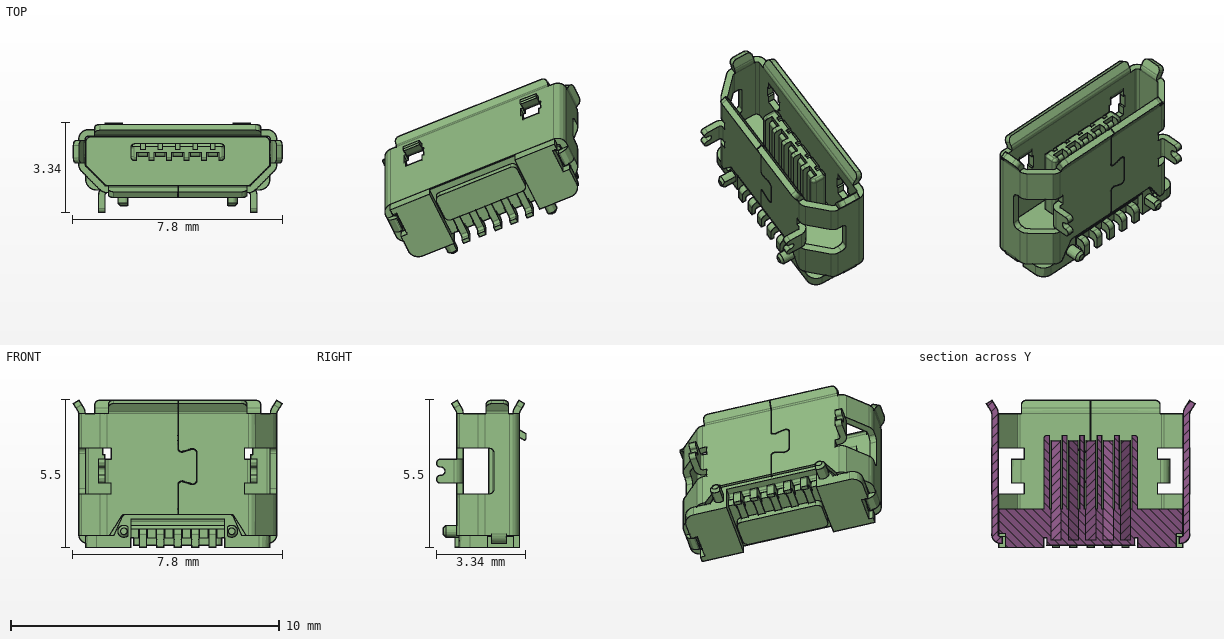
import cadquery as cq
import math


wall = 0.25
half_width = 3.70
depth = 2.35
bevel = 0.90
bend_radius = 0.37
shell_bottom = 0.45
shell_top = 5.0

lip_height = 0.5
end_lip_angle = math.radians(30)
side_lip_angle = math.radians(32)
lip_radius = 0.17
lip_corner = 0.2
rear_lip_width = 6.2
front_lip_width = 5.18
side_lip_width = 0.85
side_lip_y = 1.52

front_lip_reach = 0.5

seam_gap = 0.025
seam_top = 6.0
key_depth = 0.70
key_z = 3.02
key_neck = 0.48
key_end = 0.70
key_radius = 0.15

window_bottom = 2.0
window_top = 3.71
window_inner_x = 2.49
window_rear_y = 1.40
window_radius = 0.2

leg_bottom = 2.40
leg_top = 3.30
leg_root_x = 2.61
leg_bend = 0.1
leg_tip_y = -0.75
leg_notch_y = -0.585
leg_notch_radius = 0.15
leg_tip_radius = 0.149

spring_x = 2.39
spring_width = 0.66
spring_root_z = 4.42
spring_angle = math.radians(60)
spring_bend = 0.05
spring_length = 0.34
spring_reach = 0.24
rear_window_bottom = 3.1
relief_width = 0.81
relief_bottom = 3.47
relief_top = 4.03

curl_y = 1.58
curl_width = 0.56
curl_root_z = 0.50
curl_bend = 0.1
curl_length = 0.05

cutout_half_bottom = 2.55
cutout_half_top = 2.06
cutout_top = 1.24
cutout_radius = 0.15

housing_clearance = 0.02
housing_rear_radius = 0.18
floor_z = 1.44
base_half_width = 3.44
base_rear_half_width = 3.36
base_front_y = 0.09
base_corner = 0.41
body_bottom = 0.41
boss_half_bottom = 2.385
boss_half_top = 2.03

notch_front_y = 1.16
notch_rear_y = 2.12
notch_depth = 0.25
curl_pocket_play = 0.02

peg_x = 2.01
peg_z = 0.607
peg_radius = 0.225
peg_tip_y = -0.50
peg_chamfer = 0.1
peg_flat_x = 1.862

recess_half_width = 1.745
recess_top = 1.06
recess_radius = 0.09
tunnel_top = 0.36
comb_front_y = 0.33
comb_back_y = 0.43
comb_slope_top = 0.82
comb_slot_width = 0.34
comb_slot_depth = 0.17
foot_half_width = 1.65
foot_bottom = 0.08
foot_front_y = 1.0
foot_radius = 0.2

tongue_half_width = 1.752
tongue_front_y = 1.19
tongue_rear_y = 1.82
tongue_top = 4.19
tongue_corner = 0.15
tongue_edge = 0.11
groove_width = 0.47
groove_rear_y = 1.487
rear_notch_width = 0.175
rear_notch_y = 1.605
rear_notch_depth = 0.2

contact_pitch = 0.65
contact_count = 5
contact_width = 0.27
contact_thickness = 0.15
foot_y = -0.06
contact_bottom = 0.01
arm_bottom = 0.30
arm_top = 0.70
contact_outer_bend = 0.22
contact_inner_bend = 0.1
blade_width = 0.36
blade_top = 3.99
blade_tip_radius = 0.135

contact_places = [(i - (contact_count - 1) / 2) * contact_pitch for i in range(contact_count)]


def box(x_min, x_max, y_min, y_max, z_min, z_max):
    size = (x_max - x_min, y_max - y_min, z_max - z_min)
    return cq.Workplane("XY").box(*size, centered=False).translate((x_min, y_min, z_min))


def both_sides(body):
    """The body together with its mirror image across the middle plane."""
    return body.union(body.mirror("YZ"))


def connector_section(inset, rear_radius, z_min, z_max):
    """Prism of the shell's outline, moved inwards by the inset on every side."""
    side = half_width - inset
    front = inset
    rear = depth - inset
    bevel_run = bevel - (2 - math.sqrt(2)) * inset
    prism = (
        cq.Workplane("XY", origin=(0, 0, z_min))
        .polyline([
            (side - bevel_run, front),
            (side, front + bevel_run),
            (side, rear),
            (-side, rear),
            (-side, front + bevel_run),
            (bevel_run - side, front),
        ])
        .close()
        .extrude(z_max - z_min)
    )
    prism = prism.edges("|Z and (not >Y)").fillet(bend_radius - inset)
    return prism.edges("|Z and >Y").fillet(rear_radius)


def bent_strip(root, outwards, along, width, radius, angle, length):
    """Sheet strip that leaves the wall at the root and bends outwards, then runs straight.

    The root lies on the face the strip bends towards, in the middle of the strip's width.
    """
    sine = math.sin(angle)
    cosine = math.cos(angle)
    outer = radius + wall
    half = angle / 2
    end_x = length * sine
    end_y = length * cosine
    normal = cq.Vector(*outwards).cross(cq.Vector(*along))
    plane = cq.Plane(origin=root, xDir=outwards, normal=normal.toTuple())
    return (
        cq.Workplane(plane)
        .moveTo(0, 0)
        .threePointArc(
            (radius - radius * math.cos(half), radius * math.sin(half)),
            (radius - radius * cosine, radius * sine),
        )
        .line(end_x, end_y)
        .line(-wall * cosine, wall * sine)
        .line(-end_x, -end_y)
        .threePointArc((radius - outer * math.cos(half), outer * math.sin(half)), (-wall, 0))
        .close()
        .extrude(width / 2, both=True)
    )


def flared_lip(root, outwards, width, angle):
    """Lip on the shell's upper edge, bent outwards, with its two tip corners rounded."""
    sine = math.sin(angle)
    cosine = math.cos(angle)
    length = (lip_height - (lip_radius + wall) * sine) / cosine
    lip = bent_strip(root, outwards, (0, 0, 1), width, lip_radius, angle, length)
    across_tip = cq.Vector(*outwards) * cosine - cq.Vector(0, 0, sine)
    return lip.edges(cq.selectors.ParallelDirSelector(across_tip)).fillet(lip_corner)


def side_window():
    """Opening of the right-hand side that wraps around the bevel into the front wall."""
    window = box(window_inner_x, half_width, 0, window_rear_y, window_bottom, window_top)
    return window.edges("|X and >Y").fillet(window_radius)


def solder_leg():
    """Leg of the right-hand side, bent forward out of the front wall, with a forked tip."""
    height = leg_top - leg_bottom
    middle_z = (leg_top + leg_bottom) / 2
    root = (leg_root_x, 0, middle_z)
    straight = -leg_tip_y - leg_bend
    leg = bent_strip(root, (0, -1, 0), (1, 0, 0), height, leg_bend, math.pi / 2, straight)
    notch = (
        cq.Workplane("YZ")
        .center(leg_notch_y, middle_z)
        .circle(leg_notch_radius)
        .extrude(half_width)
        .union(box(0, half_width, leg_tip_y, leg_notch_y,
                   middle_z - leg_notch_radius, middle_z + leg_notch_radius))
    )
    leg = leg.cut(notch).faces("<Y").edges("|X").fillet(leg_tip_radius)
    flat = box(window_inner_x, leg_root_x, 0, wall, leg_bottom, leg_top)
    return leg.union(flat)


def rear_window():
    """Opening of the rear wall under a spring, wider where the spring is relieved."""
    def opening(width, z_min, z_max):
        return box(spring_x - width / 2, spring_x + width / 2, depth - 2 * wall, depth + wall, z_min, z_max)

    return opening(spring_width, rear_window_bottom, spring_root_z).union(
        opening(relief_width, relief_bottom, relief_top)
    )


def rear_spring():
    """Spring bent out of the rear wall, its tip cut flat parallel to the wall."""
    root = (spring_x, depth, spring_root_z)
    spring = bent_strip(root, (0, 1, 0), (0, 0, -1), spring_width, spring_bend, spring_angle, spring_length)
    return spring.intersect(box(0, half_width, 0, depth + spring_reach, 0, shell_top))


def curled_tab():
    """Tab at the bottom of the right-hand side wall, curled inwards."""
    root = (half_width - wall, curl_y, curl_root_z)
    return bent_strip(root, (-1, 0, 0), (0, 0, -1), curl_width, curl_bend, math.pi / 2, curl_length)


def curl_gap():
    """Piece of the side wall's lower edge that the curled tab takes the place of."""
    return box(half_width - wall, half_width, curl_y - curl_width / 2, curl_y + curl_width / 2,
               shell_bottom, curl_root_z)


def trapezoid(half_bottom, half_top, y_min, y_max):
    """Trapezoid above the contacts, with rounded upper corners."""
    return (
        cq.Workplane("XZ", origin=(0, y_max, 0))
        .polyline([
            (-half_bottom, shell_bottom),
            (half_bottom, shell_bottom),
            (half_top, cutout_top),
            (-half_top, cutout_top),
        ])
        .close()
        .extrude(y_max - y_min)
        .edges("|Y and >Z")
        .fillet(cutout_radius)
    )


def seam():
    """Thin gap of constant width that follows the middle line and the dovetail key."""
    seam_depth = front_lip_reach + wall
    key_bounds = cq.selectors.BoxSelector(
        (-key_depth, key_z - 2 * key_end, -wall),
        (2 * key_depth, key_z + 2 * key_end, wall),
    )
    outline = (
        cq.Sketch()
        .polygon([
            (-half_width, 0),
            (0, 0),
            (0, key_z - key_neck),
            (key_depth, key_z - key_end),
            (key_depth, key_z + key_end),
            (0, key_z + key_neck),
            (0, seam_top),
            (-half_width, seam_top),
            (-half_width, 0),
        ])
        .vertices(key_bounds)
        .fillet(key_radius)
    )
    left_half = cq.Workplane("XZ", origin=(0, wall, 0)).placeSketch(outline).extrude(seam_depth)
    left_half_grown = (
        left_half.faces("<Y")
        .wires()
        .toPending()
        .offset2D(seam_gap)
        .extrude(-seam_depth, combine=False)
    )
    gap = left_half_grown.cut(left_half)
    return gap.intersect(box(-key_depth, 2 * key_depth, -front_lip_reach, wall, shell_bottom, seam_top))


def build_shell():
    shell = connector_section(0, bend_radius, shell_bottom, shell_top)
    shell = shell.cut(connector_section(wall, bend_radius - wall, 0, 2 * shell_top))
    rear_lip = flared_lip((0, depth, shell_top), (0, 1, 0), rear_lip_width, end_lip_angle)
    front_lip = flared_lip((0, 0, shell_top), (0, -1, 0), front_lip_width, end_lip_angle)
    side_lip = flared_lip((half_width, side_lip_y, shell_top), (1, 0, 0), side_lip_width, side_lip_angle)
    shell = shell.union(rear_lip).union(front_lip).union(both_sides(side_lip))
    shell = shell.cut(both_sides(side_window())).cut(both_sides(rear_window()))
    shell = shell.cut(both_sides(curl_gap()))
    for part in (solder_leg(), rear_spring(), curled_tab()):
        shell = shell.union(both_sides(part))
    shell = shell.cut(trapezoid(cutout_half_bottom, cutout_half_top, 0, wall))
    return shell.cut(seam())


def housing_base():
    """Base plate below the shell, with side notches and a narrower strip at the rear."""
    base = box(-base_half_width, base_half_width, base_front_y, depth, 0, shell_bottom)
    base = base.edges("|Z and <Y").fillet(base_corner)
    notch = box(base_half_width - notch_depth, half_width, notch_front_y, notch_rear_y, 0, shell_bottom)
    rear_trim = box(base_rear_half_width, half_width, notch_rear_y, depth, 0, shell_bottom)
    return base.cut(both_sides(notch.union(rear_trim)))


def peg():
    """Locating peg on the front face, flattened on its inner side."""
    rod = (
        cq.Workplane("XZ", origin=(peg_x, base_front_y, peg_z))
        .circle(peg_radius)
        .extrude(base_front_y - peg_tip_y)
        .faces("<Y")
        .chamfer(peg_chamfer)
    )
    return rod.intersect(box(peg_flat_x, half_width, peg_tip_y, base_front_y, 0, shell_top))


def contact_recess():
    """Recess of the front face: a sloped comb top, a back wall and a rounded ceiling."""
    arc_inset = recess_radius * (1 - math.sqrt(0.5))
    return (
        cq.Workplane("YZ", origin=(-recess_half_width, 0, 0))
        .polyline([
            (0, recess_top),
            (0, 0),
            (comb_front_y, 0),
            (comb_front_y, arm_top),
            (comb_back_y, comb_slope_top),
            (comb_back_y, recess_top - recess_radius),
        ])
        .threePointArc(
            (comb_back_y - arc_inset, recess_top - arc_inset),
            (comb_back_y - recess_radius, recess_top),
        )
        .close()
        .extrude(2 * recess_half_width)
    )


def housing_tunnel():
    """Channel under the housing, less the round-cornered foot that stands in it."""
    channel = box(-recess_half_width, recess_half_width, 0, depth, 0, tunnel_top)
    foot = box(-foot_half_width, foot_half_width, foot_front_y, depth - wall, foot_bottom, tunnel_top)
    return channel.cut(foot.edges("|Z").fillet(foot_radius))


def tongue():
    """Upright tongue with a contact groove and a small rear notch for each contact."""
    block = box(-tongue_half_width, tongue_half_width, tongue_front_y, tongue_rear_y, floor_z, tongue_top)
    block = block.edges(">Y and >Z").chamfer(tongue_edge)
    block = block.edges("|Z").fillet(tongue_corner)
    block = block.faces(">Z").edges("not >Y").fillet(tongue_edge)
    for x in contact_places:
        groove = box(x - groove_width / 2, x + groove_width / 2, tongue_front_y, groove_rear_y,
                     floor_z, tongue_top)
        rear_notch = box(x - rear_notch_width / 2, x + rear_notch_width / 2, rear_notch_y, tongue_rear_y,
                         tongue_top - rear_notch_depth, tongue_top)
        block = block.cut(groove).cut(rear_notch)
    return block


def build_housing():
    inset = wall + housing_clearance
    housing = connector_section(inset, housing_rear_radius, body_bottom, floor_z)
    housing = housing.union(housing_base())
    housing = housing.union(trapezoid(boss_half_bottom, boss_half_top, base_front_y, 2 * wall))
    housing = housing.union(both_sides(peg()))
    housing = housing.cut(contact_recess()).cut(housing_tunnel())
    curl_pocket = box(
        base_half_width - notch_depth, half_width,
        curl_y - curl_width / 2 - curl_pocket_play, curl_y + curl_width / 2 + curl_pocket_play,
        0, curl_root_z + curl_pocket_play,
    )
    housing = housing.cut(both_sides(curl_pocket))
    for x in contact_places:
        slot = box(x - comb_slot_width / 2, x + comb_slot_width / 2,
                   comb_front_y, comb_front_y + comb_slot_depth, 0, arm_top)
        housing = housing.cut(slot)
    housing = housing.union(tongue())
    for x in contact_places:
        housing = housing.cut(contact(x))
    return housing


def contact(x):
    """One contact: a foot bent down in front, an arm through the housing and an upright blade."""
    foot_back_y = foot_y + contact_thickness
    blade_front_y = groove_rear_y - contact_thickness
    outer_edge = contact_outer_bend * (1 - math.sqrt(0.5))
    inner_edge = contact_inner_bend * (1 - math.sqrt(0.5))
    arm = (
        cq.Workplane("YZ", origin=(x, 0, 0))
        .moveTo(foot_y, contact_bottom)
        .lineTo(foot_y, arm_top - contact_outer_bend)
        .threePointArc(
            (foot_y + outer_edge, arm_top - outer_edge),
            (foot_y + contact_outer_bend, arm_top),
        )
        .lineTo(groove_rear_y, arm_top)
        .lineTo(groove_rear_y, arm_bottom)
        .lineTo(foot_back_y + contact_inner_bend, arm_bottom)
        .threePointArc(
            (foot_back_y + inner_edge, arm_bottom - inner_edge),
            (foot_back_y, arm_bottom - contact_inner_bend),
        )
        .lineTo(foot_back_y, contact_bottom)
        .close()
        .extrude(contact_width / 2, both=True)
    )
    blade = box(x - blade_width / 2, x + blade_width / 2, blade_front_y, groove_rear_y, arm_bottom, blade_top)
    blade = blade.edges("|X and >Z and <Y").fillet(blade_tip_radius)
    return arm.union(blade)


shell = build_shell()
housing = build_housing()
contacts = [contact(x).val() for x in contact_places]
result = cq.Compound.makeCompound([shell.val(), housing.val(), *contacts])